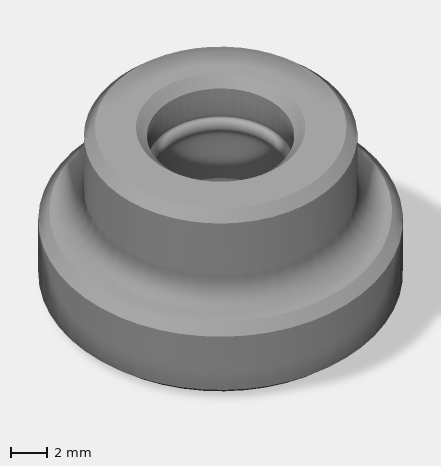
import cadquery as cq
import math

flange_radius = 10.0
flange_height = 5.0
boss_radius = 7.5
total_height = 11.0
chamfer = 0.6
neck_fillet = 1.5

bore_radius = 4.05
bore_depth = 7.0
bore_tip_angle = 120.0
ring_section_radius = 0.45
ring_depth = 3.05


def make_body():
    """Revolve the flange and boss, with chamfered rims and a concave neck."""
    neck_offset = neck_fillet * (1 - math.sqrt(0.5))
    return (
        cq.Workplane("XZ")
        .lineTo(flange_radius - chamfer, 0)
        .lineTo(flange_radius, chamfer)
        .lineTo(flange_radius, flange_height - chamfer)
        .lineTo(flange_radius - chamfer, flange_height)
        .lineTo(boss_radius + neck_fillet, flange_height)
        .threePointArc(
            (boss_radius + neck_offset, flange_height + neck_offset),
            (boss_radius, flange_height + neck_fillet),
        )
        .lineTo(boss_radius, total_height - chamfer)
        .lineTo(boss_radius - chamfer, total_height)
        .lineTo(0, total_height)
        .close()
        .revolve(360, (0, 0), (0, 1))
    )


def make_bore():
    """Revolve the cavity: conical tip, ringed wall and chamfered mouth."""
    tip_height = bore_radius / math.tan(math.radians(bore_tip_angle / 2))
    wall_bottom = total_height - bore_depth
    ring_height = total_height - ring_depth
    return (
        cq.Workplane("XZ")
        .moveTo(0, wall_bottom - tip_height)
        .lineTo(bore_radius, wall_bottom)
        .lineTo(bore_radius, ring_height - ring_section_radius)
        .threePointArc(
            (bore_radius - ring_section_radius, ring_height),
            (bore_radius, ring_height + ring_section_radius),
        )
        .lineTo(bore_radius, total_height - chamfer)
        .lineTo(bore_radius + chamfer, total_height)
        .lineTo(0, total_height)
        .close()
        .revolve(360, (0, 0), (0, 1))
    )


result = make_body().cut(make_bore())